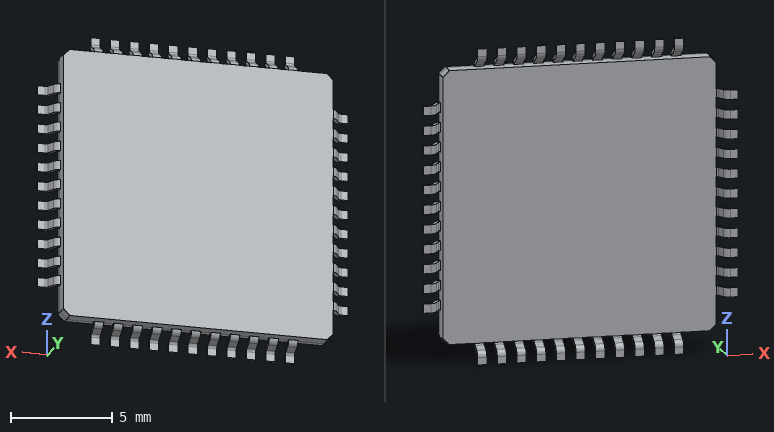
import cadquery as cq
import math


overall_span = 16.0
overall_height = 1.2

leads_per_side = 11
lead_row_length = 10.0
lead_width = 0.48
lead_thickness = 0.2
foot_length = 0.38
bend_radius = 0.27
leg_angle = math.radians(61)
lead_embed = 0.32
lead_pitch = lead_row_length / (leads_per_side - 1)

body_width = 14.0
body_thickness = overall_height - lead_thickness
corner_chamfer = 0.35
side_draft = 7.0

lead_drop = (body_thickness + lead_thickness) / 2
leg_length = (lead_drop - 2 * bend_radius * (1 - math.cos(leg_angle))) / math.sin(leg_angle)
bend_run = 2 * bend_radius * math.sin(leg_angle) + leg_length * math.cos(leg_angle)
foot_tip = overall_span / 2
foot_bend = (foot_tip - foot_length, bend_radius - lead_drop)
shoulder_bend = (foot_bend[0] - bend_run, -bend_radius)
lead_root = body_width / 2 - lead_embed


def body_half(draft_direction):
    """One drafted half of the body, grown from the parting plane along +Y (1) or -Y (-1)."""
    outline = (
        cq.Sketch()
        .rect(body_width, body_width)
        .vertices()
        .chamfer(corner_chamfer)
    )
    return (
        cq.Workplane("XZ")
        .placeSketch(outline)
        .extrude(-draft_direction * body_thickness / 2, taper=side_draft)
    )


def on_bend(centre, radius, angle):
    """Point at an angle on a circle round a bend centre."""
    return (centre[0] + radius * math.cos(angle), centre[1] + radius * math.sin(angle))


def lead():
    """Gull-wing lead pointing along +X, centred on z = 0."""
    half_thickness = lead_thickness / 2
    outer = bend_radius + half_thickness
    inner = bend_radius - half_thickness
    up = math.pi / 2
    down = -math.pi / 2
    shoulder_end = up - leg_angle
    foot_start = down - leg_angle
    shoulder_middle = up - leg_angle / 2
    foot_middle = down - leg_angle / 2
    return (
        cq.Workplane("XY")
        .moveTo(lead_root, half_thickness)
        .lineTo(*on_bend(shoulder_bend, outer, up))
        .threePointArc(
            on_bend(shoulder_bend, outer, shoulder_middle),
            on_bend(shoulder_bend, outer, shoulder_end),
        )
        .lineTo(*on_bend(foot_bend, inner, foot_start))
        .threePointArc(
            on_bend(foot_bend, inner, foot_middle),
            on_bend(foot_bend, inner, down),
        )
        .lineTo(foot_tip, half_thickness - lead_drop)
        .lineTo(foot_tip, -half_thickness - lead_drop)
        .lineTo(*on_bend(foot_bend, outer, down))
        .threePointArc(
            on_bend(foot_bend, outer, foot_middle),
            on_bend(foot_bend, outer, foot_start),
        )
        .lineTo(*on_bend(shoulder_bend, inner, shoulder_end))
        .threePointArc(
            on_bend(shoulder_bend, inner, shoulder_middle),
            on_bend(shoulder_bend, inner, up),
        )
        .lineTo(lead_root, -half_thickness)
        .close()
        .extrude(lead_width / 2, both=True)
    )


def all_leads():
    """Rows of leads on the four sides of the body."""
    one_lead = lead().val()
    leads = []
    for side in range(4):
        for index in range(leads_per_side):
            offset = index * lead_pitch - lead_row_length / 2
            placed = one_lead.moved(cq.Location(cq.Vector(0, 0, offset)))
            leads.append(placed.rotate(cq.Vector(0, 0, 0), cq.Vector(0, 1, 0), 90 * side))
    return leads


body = body_half(1).union(body_half(-1))
result = cq.Workplane(body.val().fuse(*all_leads()))